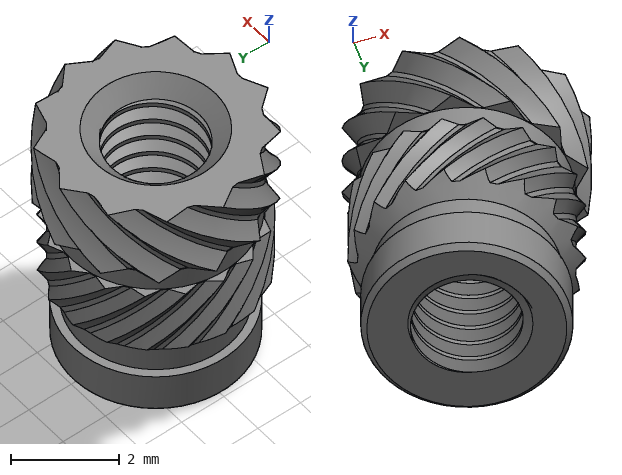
import cadquery as cq
import math

total_height = 5.7
base_top = 1.0
lower_taper_bottom = 1.595
lower_knurl_top = 3.495
upper_knurl_bottom = 4.005

base_diameter = 3.91
base_chamfer = 0.115
lower_neck_diameter = 3.55
upper_neck_diameter = 4.0

knurl_root_radius = 2.02
knurl_root_width = 0.15
upper_teeth = 13
upper_tip_diameter = 4.6
upper_tip_angle = 4.1
upper_twist_rate = -30.53
lower_teeth = 18
lower_tip_diameter = 4.39
lower_tip_angle = 6.0
lower_twist_rate = 26.32

thread_minor_diameter = 2.075
thread_major_diameter = 2.58
thread_pitch = 0.45
thread_root_flat = thread_pitch / 8
thread_half_angle = 30.0
thread_groove_height = 4.61
thread_groove_angle = 45.0
countersink_diameter = 2.795
countersink_bottom = total_height - (countersink_diameter - thread_minor_diameter) / 2

overlap = 0.055


def polar(radius, degrees):
    angle = math.radians(degrees)
    return radius * math.cos(angle), radius * math.sin(angle)


def cylinder(diameter, bottom, top):
    return cq.Workplane("XY").workplane(offset=bottom).circle(diameter / 2).extrude(top - bottom)


def knurl(teeth, tip_diameter, tip_angle, twist_rate, bottom, top):
    """Twisted ring of pointed teeth; tip_angle applies at the bottom face."""
    tooth_step = 360 / teeth
    root_half_angle = math.degrees(math.asin(knurl_root_width / 2 / knurl_root_radius))
    points = []
    for tooth in range(teeth):
        tip = tip_angle + tooth * tooth_step
        root = tip + tooth_step / 2
        points.append(polar(tip_diameter / 2, tip))
        points.append(polar(knurl_root_radius, root - root_half_angle))
        points.append(polar(knurl_root_radius, root + root_half_angle))
    height = top - bottom
    outline = cq.Workplane("XY").workplane(offset=bottom).polyline(points).close()
    return outline.twistExtrude(height, twist_rate * height)


def lower_knurl_envelope():
    """Round blank whose lower end tapers at 45 degrees down to the lower neck."""
    neck_radius = lower_neck_diameter / 2
    outer_radius = lower_tip_diameter / 2 + overlap
    taper_top = lower_taper_bottom + outer_radius - neck_radius
    profile = [
        (0, lower_taper_bottom),
        (neck_radius, lower_taper_bottom),
        (outer_radius, taper_top),
        (outer_radius, lower_knurl_top),
        (0, lower_knurl_top),
    ]
    return cq.Workplane("XZ").polyline(profile).close().revolve(360, (0, 0), (0, 1))


def thread_groove():
    """Helical groove of the right-hand thread, from the bottom face up to the countersink."""
    major_radius = thread_major_diameter / 2
    inner_radius = thread_minor_diameter / 2 - overlap
    root_half = thread_root_flat / 2
    mouth_half = root_half + (major_radius - inner_radius) * math.tan(math.radians(thread_half_angle))
    turns_below = math.ceil(thread_groove_height / thread_pitch) + 1
    start = thread_groove_height - turns_below * thread_pitch
    length = total_height + thread_pitch - start

    section = [
        (inner_radius, -mouth_half),
        (major_radius, -root_half),
        (major_radius, root_half),
        (inner_radius, mouth_half),
    ]
    edges = []
    for radius, height in section:
        edges.append(cq.Wire.makeHelix(thread_pitch, length, radius, cq.Vector(0, 0, start + height)))
    faces = []
    for index, edge in enumerate(edges):
        next_edge = edges[(index + 1) % len(edges)]
        faces.append(cq.Face.makeRuledSurface(edge, next_edge))
    start_cap = cq.Wire.makePolygon([edge.startPoint() for edge in edges], close=True)
    end_cap = cq.Wire.makePolygon([edge.endPoint() for edge in edges], close=True)
    faces.append(cq.Face.makeFromWires(start_cap))
    faces.append(cq.Face.makeFromWires(end_cap))
    groove = cq.Workplane(cq.Solid.makeSolid(cq.Shell.makeShell(faces)))
    groove = groove.rotate((0, 0, 0), (0, 0, 1), thread_groove_angle)
    return groove.intersect(cylinder(thread_major_diameter + overlap, -overlap, countersink_bottom))


def countersink():
    """45 degree cone from the top face down to the minor diameter."""
    top_radius = countersink_diameter / 2
    profile = [
        (0, total_height - top_radius),
        (top_radius, total_height),
        (0, total_height),
    ]
    return cq.Workplane("XZ").polyline(profile).close().revolve(360, (0, 0), (0, 1))


base = cylinder(base_diameter, 0, base_top).faces("<Z").chamfer(base_chamfer)
lower_neck = cylinder(lower_neck_diameter, base_top, lower_taper_bottom)
upper_neck = cylinder(upper_neck_diameter, lower_knurl_top, upper_knurl_bottom)
lower_knurl = knurl(
    lower_teeth, lower_tip_diameter, lower_tip_angle, lower_twist_rate, lower_taper_bottom, lower_knurl_top
).intersect(lower_knurl_envelope())
upper_knurl = knurl(
    upper_teeth, upper_tip_diameter, upper_tip_angle, upper_twist_rate, upper_knurl_bottom, total_height
)
body = base.union(lower_neck).union(lower_knurl).union(upper_neck).union(upper_knurl)

result = (
    body.cut(thread_groove())
    .cut(cylinder(thread_minor_diameter, 0, total_height))
    .cut(countersink())
)